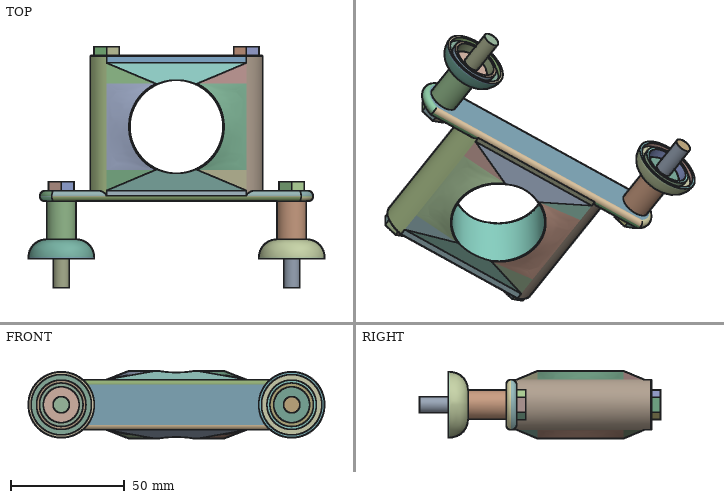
import cadquery as cq
import math

overall_width = 130.58
overall_length = 106.28
overall_height = 29.85

half_height = 11.1
body_half_width = 38.05
body_flat_half = 30.8
body_back_y = 31.4
body_edge_chamfer = 0.4
bore_radius = 20.5

collar_z = overall_height / 2
collar_foot_y = 28.1
collar_crest_y = 18.95
collar_rim_radius = 21.0

plate_thickness = 4.7
plate_back_y = -collar_foot_y
plate_front_y = plate_back_y - plate_thickness
plate_half_length = 60.25
plate_flat_half = 54.9
plate_front_fillet = 2.15
plate_back_fillet = 2.5

head_across_corners = 13.0
head_height = 3.9
clamp_bolt_x = body_flat_half

dome_radius = 14.55
foot_x = overall_width / 2 - dome_radius
post_radius = 6.5
dome_arc_radius = dome_radius - post_radius
dome_rim_height = 0.7
dome_top_y = -49.5
dome_bottom_y = dome_top_y - dome_arc_radius - dome_rim_height
stud_radius = 3.6
stud_end_y = body_back_y + head_height - overall_length

groove_outer_radius = 13.3
groove_inner_radius = 10.9
groove_depth = 2.0
recess_radius = 9.6
recess_depth = 4.7
center_boss_radius = 7.9
center_boss_depth = 3.1


def bowed_bar(flat_half, half_length, y_back, y_front):
    """Bar with flat top and bottom and arc-shaped ends in X, extruded along Y."""
    return (
        cq.Workplane("XZ", origin=(0, y_back, 0))
        .moveTo(-flat_half, half_height)
        .lineTo(flat_half, half_height)
        .threePointArc((half_length, 0), (flat_half, -half_height))
        .lineTo(-flat_half, -half_height)
        .threePointArc((-half_length, 0), (-flat_half, half_height))
        .close()
        .extrude(y_back - y_front)
    )


def make_body():
    plate_middle_y = (plate_back_y + plate_front_y) / 2
    body = bowed_bar(body_flat_half, body_half_width, body_back_y, plate_middle_y)
    return body.faces(">Y").edges().chamfer(body_edge_chamfer)


def make_plate():
    plate = bowed_bar(plate_flat_half, plate_half_length, plate_back_y, plate_front_y)
    plate = plate.faces("<Y").edges().fillet(plate_front_fillet)
    return plate.faces(">Y").edges().fillet(plate_back_fillet)


def polygon_face(*points):
    return cq.Face.makeFromWires(cq.Wire.makePolygon([cq.Vector(*p) for p in points], close=True))


def make_collar():
    """Upper collar: sloped ends, triangular corners and sides ruled up to the round rim."""
    crest_x = math.sqrt(collar_rim_radius**2 - collar_crest_y**2)

    def foot(x_side, y):
        return (x_side * body_flat_half, y, half_height)

    def crest(x_side, y_side):
        return (x_side * crest_x, y_side * collar_crest_y, collar_z)

    faces = []
    rim_arcs = {}
    for side in (-1, 1):
        rim_middle = (side * collar_rim_radius, 0, collar_z)
        rim_arcs[side] = cq.Edge.makeThreePointArc(
            cq.Vector(*crest(side, -1)), cq.Vector(*rim_middle), cq.Vector(*crest(side, 1))
        )
        foot_line = cq.Edge.makeLine(
            cq.Vector(*foot(side, -collar_crest_y)), cq.Vector(*foot(side, collar_crest_y))
        )
        faces.append(cq.Face.makeRuledSurface(foot_line, rim_arcs[side]))
        for end in (-1, 1):
            faces.append(
                polygon_face(
                    foot(side, end * collar_foot_y), foot(side, end * collar_crest_y), crest(side, end)
                )
            )

    crest_lines = []
    for end in (-1, 1):
        end_y = end * collar_foot_y
        faces.append(polygon_face(foot(-1, end_y), foot(1, end_y), crest(1, end), crest(-1, end)))
        crest_lines.append(cq.Edge.makeLine(cq.Vector(*crest(-1, end)), cq.Vector(*crest(1, end))))

    crest_edges = [crest_lines[0], rim_arcs[1], crest_lines[1], rim_arcs[-1]]
    faces.append(cq.Face.makeFromWires(cq.Wire.assembleEdges(crest_edges)))

    foot_steps = (-collar_foot_y, -collar_crest_y, collar_crest_y, collar_foot_y)
    right_foot = [foot(1, y) for y in foot_steps]
    left_foot = [foot(-1, y) for y in reversed(foot_steps)]
    faces.append(polygon_face(*right_foot, *left_foot))
    return cq.Workplane(cq.Solid.makeSolid(cq.Shell.makeShell(faces)).fix())


def make_hex_head(x, seat_y):
    """Hexagon head standing on a seat toward +Y, with two corners along Z."""
    return (
        cq.Workplane("XZ", origin=(x, seat_y + head_height, 0))
        .transformed(rotate=(0, 0, 90))
        .polygon(6, head_across_corners)
        .extrude(head_height)
    )


def make_foot(x):
    """Post, hollow dome and stud, revolved about an axis along Y."""
    arc_center_y = dome_top_y - dome_arc_radius
    arc_middle = dome_arc_radius * math.sqrt(0.5)
    groove_y = dome_bottom_y + groove_depth
    recess_y = dome_bottom_y + recess_depth
    center_boss_y = dome_bottom_y + center_boss_depth
    profile = (
        cq.Workplane("XY")
        .moveTo(0, plate_front_y)
        .lineTo(post_radius, plate_front_y)
        .lineTo(post_radius, dome_top_y)
        .threePointArc(
            (post_radius + arc_middle, arc_center_y + arc_middle), (dome_radius, arc_center_y)
        )
        .lineTo(dome_radius, dome_bottom_y)
        .lineTo(groove_outer_radius, dome_bottom_y)
        .lineTo(groove_outer_radius, groove_y)
        .lineTo(groove_inner_radius, groove_y)
        .lineTo(groove_inner_radius, dome_bottom_y)
        .lineTo(recess_radius, dome_bottom_y)
        .lineTo(recess_radius, recess_y)
        .lineTo(center_boss_radius, recess_y)
        .lineTo(center_boss_radius, center_boss_y)
        .lineTo(stud_radius, center_boss_y)
        .lineTo(stud_radius, stud_end_y)
        .lineTo(0, stud_end_y)
        .close()
    )
    return profile.revolve(360, (0, 0, 0), (0, 1, 0)).translate((x, 0, 0))


collar = make_collar()
result = make_body().union(make_plate()).union(collar).union(collar.mirror("XY"))

bore = cq.Workplane("XY", origin=(0, 0, -collar_z)).circle(bore_radius).extrude(2 * collar_z)
result = result.cut(bore)

for side in (-1, 1):
    result = result.union(make_hex_head(side * clamp_bolt_x, body_back_y))
    result = result.union(make_hex_head(side * foot_x, plate_back_y))
    result = result.union(make_foot(side * foot_x))